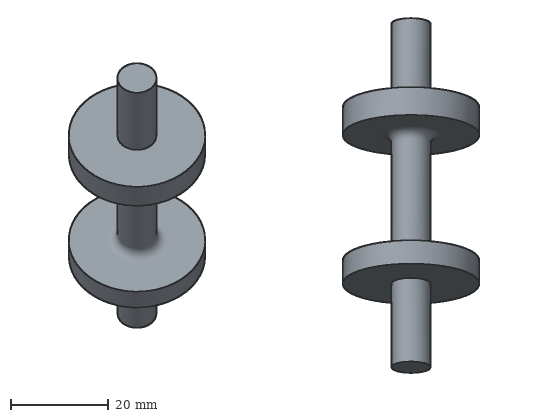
import cadquery as cq

total_length = 74.0
shaft_diameter = 8.1
disc_diameter = 28.1
journal_length = 18.0
lower_disc_thickness = 5.0
upper_disc_thickness = 6.0
fillet_radius = 2.0

lower_inner_face = journal_length + lower_disc_thickness
upper_disc_top = total_length - journal_length
upper_inner_face = upper_disc_top - upper_disc_thickness


def cylinder(diameter, bottom, top):
    """Upright cylinder on the Z axis between two heights."""
    return cq.Workplane("XY").workplane(offset=bottom).circle(diameter / 2).extrude(top - bottom)


shaft = cylinder(shaft_diameter, 0, total_length)
lower_disc = cylinder(disc_diameter, journal_length, lower_inner_face)
upper_disc = cylinder(disc_diameter, upper_inner_face, upper_disc_top)
spindle = shaft.union(lower_disc).union(upper_disc)


def inner_corner(height):
    """Box selector around the circle where the shaft meets an inner disc face."""
    reach = shaft_diameter
    margin = fillet_radius / 2
    return cq.selectors.BoxSelector(
        (-reach, -reach, height - margin),
        (reach, reach, height + margin),
        boundingbox=True,
    )


for face_height in (lower_inner_face, upper_inner_face):
    spindle = spindle.edges(inner_corner(face_height)).fillet(fillet_radius)

result = spindle